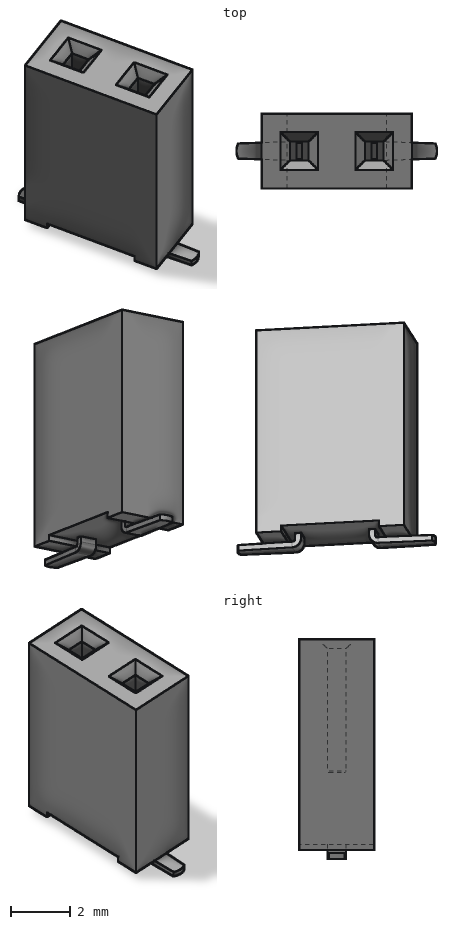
import cadquery as cq

total_height = 7.45
total_length = 6.8
pitch = 2.54
contact_count = 2

housing_length = contact_count * pitch
housing_width = pitch
standoff = 0.3
relief_top = 0.5
end_pad_length = 0.86

mouth_size = 1.28
socket_size = 0.64
mouth_depth = (mouth_size - socket_size) / 2
socket_depth = 4.47
slot_floor_width = 0.53
slot_depth = (socket_size - slot_floor_width) / 2

tail_thickness = 0.2
tail_width = 0.64
tail_tip_width = 0.52
tip_bulge = 0.07
bend_inner_radius = 0.105
bend_outer_radius = bend_inner_radius + tail_thickness
tail_embedding = 0.15


def make_housing():
    """Block with a relief across its underside that leaves a pad at each end."""
    block = cq.Workplane("XY").workplane(offset=standoff).rect(housing_length, housing_width)
    block = block.extrude(total_height - standoff)
    relief = cq.Workplane("XY").workplane(offset=standoff)
    relief = relief.rect(housing_length - 2 * end_pad_length, housing_width)
    return block.cut(relief.extrude(relief_top - standoff))


def make_socket(x):
    """Square hole with a funnel mouth and a shallow slot with sloped ends in its floor."""
    mouth = (
        cq.Workplane("XY", origin=(x, 0, total_height))
        .rect(mouth_size, mouth_size)
        .workplane(offset=-mouth_depth)
        .rect(socket_size, socket_size)
        .loft(ruled=True)
    )
    hole = cq.Workplane("XY", origin=(x, 0, total_height)).rect(socket_size, socket_size)
    hole = hole.extrude(-socket_depth)
    slot = (
        cq.Workplane("XY", origin=(x, 0, total_height - socket_depth))
        .rect(tail_thickness, socket_size)
        .workplane(offset=-slot_depth)
        .rect(tail_thickness, slot_floor_width)
        .loft(ruled=True)
    )
    return mouth.union(hole).union(slot)


def make_right_tail():
    """Tail that drops out of the housing, bends toward +X and tapers to a rounded tip."""
    inner_face = pitch / 2 - tail_thickness / 2
    bend_end = inner_face + bend_outer_radius
    tip = total_length / 2
    tip_corner = tip - tip_bulge

    stem_height = relief_top + tail_embedding - bend_outer_radius
    stem = cq.Workplane("XY", origin=(pitch / 2, 0, bend_outer_radius))
    stem = stem.rect(tail_thickness, tail_width).extrude(stem_height)

    bend = (
        cq.Workplane("XZ")
        .moveTo(bend_end, bend_outer_radius)
        .circle(bend_outer_radius)
        .circle(bend_inner_radius)
        .extrude(tail_width / 2, both=True)
    )
    quarter = cq.Workplane("XY").box(
        bend_outer_radius, tail_width, bend_outer_radius, centered=(False, True, False)
    )
    bend = bend.intersect(quarter.translate((inner_face, 0, 0)))

    foot = (
        cq.Workplane("XY")
        .moveTo(bend_end, -tail_width / 2)
        .lineTo(tip_corner, -tail_tip_width / 2)
        .threePointArc((tip, 0), (tip_corner, tail_tip_width / 2))
        .lineTo(bend_end, tail_width / 2)
        .close()
        .extrude(tail_thickness)
    )
    return stem.union(bend).union(foot)


result = make_housing()
for index in range(contact_count):
    result = result.cut(make_socket((index - (contact_count - 1) / 2) * pitch))

right_tail = make_right_tail()
result = result.union(right_tail).union(right_tail.mirror("YZ"))